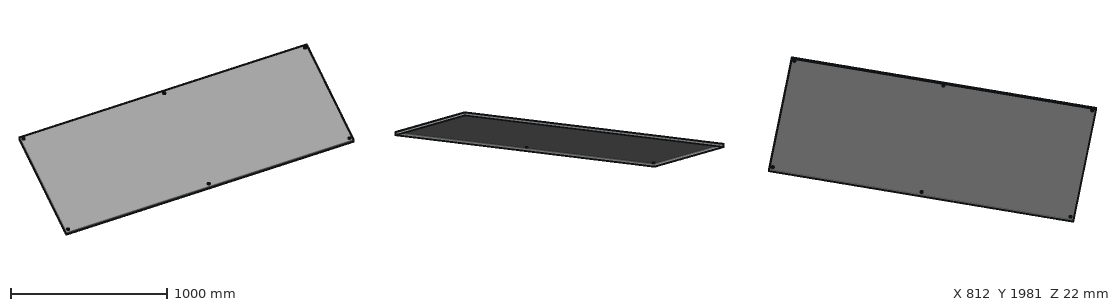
import cadquery as cq

width = 812.0
length = 1981.0
height = 22.0
sheet = 2.0

bend_radius = 3.0
corner_radius = 3.2

hole_diameter = 14.3
hole_spacing_x = 767.0
hole_spacing_y = 969.0


def rounded_block(inset):
    """Block inset from the sides and top, with rounded corners and upper rim."""
    block = cq.Workplane("XY").box(
        width - 2 * inset, length - 2 * inset, height - inset, centered=(True, True, False)
    )
    block = block.edges("|Z").fillet(corner_radius - inset)
    return block.faces(">Z").edges().fillet(bend_radius - inset)


panel = rounded_block(0).cut(rounded_block(sheet))

hole_centres = [
    (side * hole_spacing_x / 2, row * hole_spacing_y) for side in (-1, 1) for row in (-1, 0, 1)
]
holes = cq.Workplane("XY").pushPoints(hole_centres).circle(hole_diameter / 2).extrude(height)

result = panel.cut(holes)